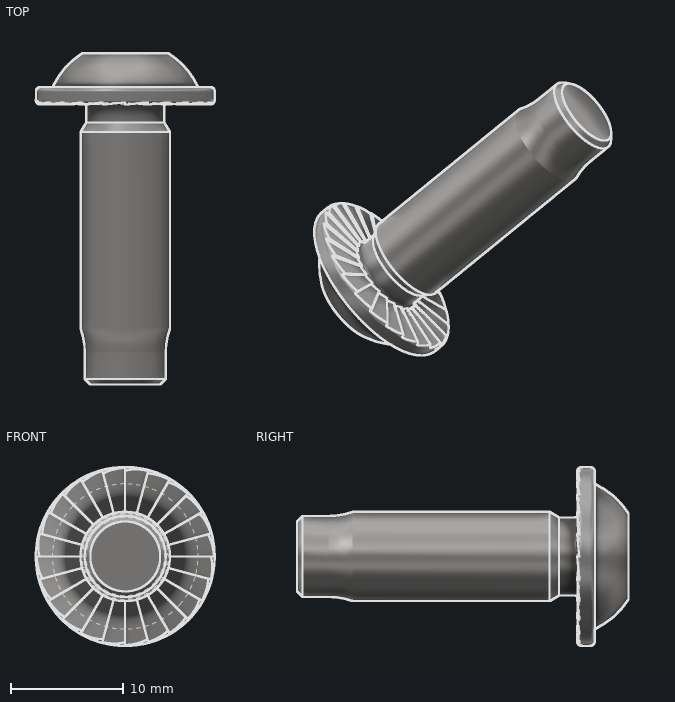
import cadquery as cq
import math

shank_length = 25.0

flange_radius = 16.0 / 2
flange_thickness = 1.6
flange_edge_radius = 0.45
dome_base_radius = 6.5
dome_top_radius = 3.85
dome_height = 3.0

tooth_count = 24
tooth_depth = 0.2
rim_overcut = 1.0

body_radius = 8.0 / 2
neck_radius = 7.0 / 2
pilot_radius = 7.25 / 2
root_fillet = 0.4
neck_end = 1.6
body_start = 2.45
body_end = 20.0
pilot_start = 22.15
tip_chamfer = 0.5


def make_dome():
    """Flat-topped spherical cap; the sphere is centred on the screw axis."""
    top = flange_thickness + dome_height
    middle = flange_thickness + dome_height / 2
    center = middle - (dome_base_radius**2 - dome_top_radius**2) / (2 * dome_height)
    sphere_radius = math.hypot(dome_base_radius, flange_thickness - center)
    middle_radius = math.sqrt(sphere_radius**2 - (middle - center) ** 2)
    return (
        cq.Workplane("XY")
        .moveTo(0, flange_thickness)
        .lineTo(dome_base_radius, flange_thickness)
        .threePointArc((middle_radius, middle), (dome_top_radius, top))
        .lineTo(0, top)
        .close()
        .revolve(360, (0, 0), (0, 1))
    )


def make_flange():
    """Washer flange with both rim edges rounded."""
    disc = cq.Workplane("XZ").circle(flange_radius).extrude(-flange_thickness)
    return disc.edges().fillet(flange_edge_radius)


def make_tooth_gap():
    """Wedge cut away below one tooth facet.

    The facet holds a level root line along +Z at the tooth depth and slopes down to a crest
    one pitch before it, so that the crest reaches Y = 0 at the flange rim.
    """
    pitch = math.radians(360 / tooth_count)
    reach = flange_radius + rim_overcut
    width = reach * math.tan(pitch)
    slope = tooth_depth / (flange_radius * math.sin(pitch))
    crest = tooth_depth - width * slope
    ramp = (
        cq.Workplane("XY")
        .polyline([(0, tooth_depth), (-width, crest), (0, crest)])
        .close()
        .extrude(reach)
    )
    sector = (
        cq.Workplane("XZ")
        .polyline([(0, 0), (0, reach), (-width, reach)])
        .close()
        .extrude(flange_thickness, both=True)
    )
    return ramp.intersect(sector)


def cut_teeth(flange):
    """Cut a full ring of sawtooth ramps into the seat face of the flange."""
    gap = make_tooth_gap()
    for index in range(tooth_count):
        angle = index * 360 / tooth_count
        flange = flange.cut(gap.rotate((0, 0, 0), (0, 1, 0), angle))
    return flange


def make_shank():
    """Neck with root fillet, full body, concave taper and chamfered pilot tip."""
    fillet_offset = root_fillet * (1 - math.sqrt(0.5))
    taper_length = pilot_start - body_end
    taper_drop = body_radius - pilot_radius
    taper_curve = (taper_length**2 + taper_drop**2) / (2 * taper_drop)
    taper_mid = (body_end + pilot_start) / 2
    taper_mid_radius = pilot_radius + taper_curve - math.sqrt(taper_curve**2 - (taper_length / 2) ** 2)
    return (
        cq.Workplane("XY")
        .moveTo(0, flange_thickness)
        .lineTo(neck_radius + root_fillet, flange_thickness)
        .lineTo(neck_radius + root_fillet, tooth_depth)
        .threePointArc(
            (neck_radius + fillet_offset, tooth_depth - fillet_offset),
            (neck_radius, tooth_depth - root_fillet),
        )
        .lineTo(neck_radius, -neck_end)
        .lineTo(body_radius, -body_start)
        .lineTo(body_radius, -body_end)
        .threePointArc((taper_mid_radius, -taper_mid), (pilot_radius, -pilot_start))
        .lineTo(pilot_radius, tip_chamfer - shank_length)
        .lineTo(pilot_radius - tip_chamfer, -shank_length)
        .lineTo(0, -shank_length)
        .close()
        .revolve(360, (0, 0), (0, 1))
    )


result = cut_teeth(make_flange()).union(make_shank()).union(make_dome())